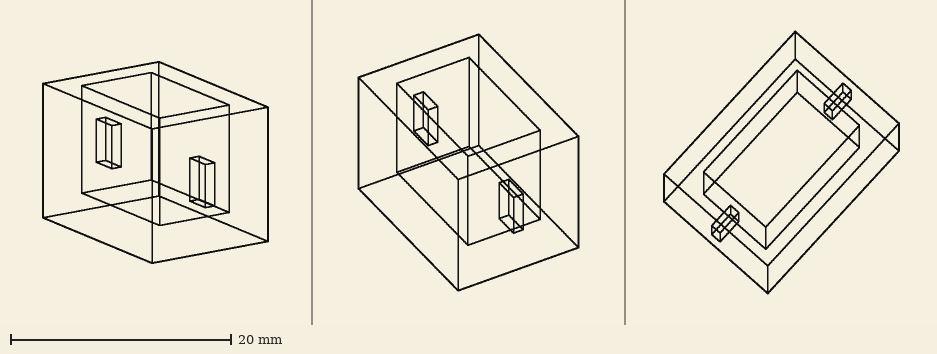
import cadquery as cq

length = 17.78
width = 12.7
height = 12.7

wall = 2.55

slot_width = 1.01
slot_height = 4.07


def make_block():
    """Solid outer block, centred on the origin."""
    return cq.Workplane("XY").box(length, width, height)


def make_pocket():
    """Rectangular cavity from the floor up to the open top."""
    return (
        cq.Workplane("XY")
        .workplane(offset=wall - height / 2)
        .rect(length - 2 * wall, width - 2 * wall)
        .extrude(height - wall)
    )


def make_end_slots():
    """Centred upright slot running along X through both end walls."""
    return cq.Workplane("XY").box(length, slot_width, slot_height)


result = make_block().cut(make_pocket()).cut(make_end_slots())